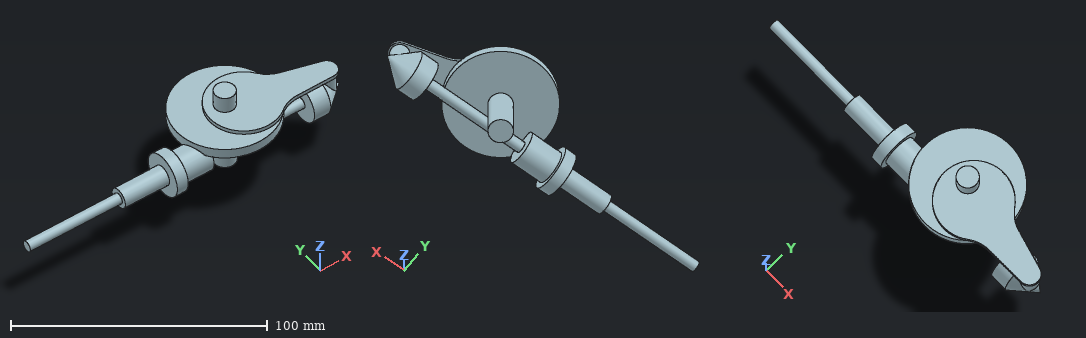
import cadquery as cq
import math

ROD_Y = -8.0

PIN_TOP_Z = 19.2
PIN_BOTTOM_Z = -18.9
UPPER_PIN_DIAMETER = 9.0
LOWER_PIN_DIAMETER = 10.0
DISC_DIAMETER = 46.0
DISC_BOTTOM_Z = 5.0
DISC_TOP_Z = 9.7

ROD_LENGTH = 150.9
TIP_X = 49.5
ROD_START_X = TIP_X - ROD_LENGTH
ROD_DIAMETER = 4.8
SLEEVE_START_X = -57.0
SLEEVE_DIAMETER = 8.9
FLANGE_START_X = -35.8
FLANGE_END_X = -30.5
FLANGE_DIAMETER = 19.3
BODY_END_X = -16.1
BODY_DIAMETER = 14.2
HEAD_START_X = 31.1
CONE_START_X = 39.0
HEAD_DIAMETER = 17.5

PLATE_THICKNESS = 1.8
CAM_X = 6.8
CAM_Y = -3.2
CAM_RADIUS = 16.1
NOSE_X = 43.3
NOSE_RADIUS = 4.7
NECK_RADIUS = 15.0
TAPER_DEGREES = 8.0

PEG_DIAMETER = 7.8


def vertical_cylinder(diameter, bottom, top, x=0, y=0):
    base = cq.Workplane("XY", origin=(x, y, bottom))
    return base.circle(diameter / 2).extrude(top - bottom)


def make_rod():
    """Revolve the stepped rod profile about the rod axis."""
    sections = [
        (ROD_START_X, SLEEVE_START_X, ROD_DIAMETER),
        (SLEEVE_START_X, FLANGE_START_X, SLEEVE_DIAMETER),
        (FLANGE_START_X, FLANGE_END_X, FLANGE_DIAMETER),
        (FLANGE_END_X, BODY_END_X, BODY_DIAMETER),
        (BODY_END_X, HEAD_START_X, ROD_DIAMETER),
        (HEAD_START_X, CONE_START_X, HEAD_DIAMETER),
    ]
    profile = cq.Workplane("XY", origin=(0, ROD_Y, 0)).moveTo(ROD_START_X, 0)
    for start, end, diameter in sections:
        profile = profile.lineTo(start, diameter / 2).lineTo(end, diameter / 2)
    return profile.lineTo(TIP_X, 0).close().revolve(360, (0, 0, 0), (1, 0, 0))


def make_cam_plate():
    """Build the plate along local X, then turn it toward the nose."""
    length = math.hypot(NOSE_X - CAM_X, ROD_Y - CAM_Y)
    direction = math.degrees(math.atan2(ROD_Y - CAM_Y, NOSE_X - CAM_X))
    taper = math.radians(TAPER_DEGREES)
    normal_x, normal_y = math.sin(taper), math.cos(taper)

    center_distance = CAM_RADIUS + NECK_RADIUS
    across = length * normal_x + NOSE_RADIUS + NECK_RADIUS
    along = math.sqrt(center_distance**2 - across**2)
    neck_x = across * normal_x + along * normal_y
    neck_y = across * normal_y - along * normal_x

    cam_tangent = (neck_x * CAM_RADIUS / center_distance, neck_y * CAM_RADIUS / center_distance)
    flank_start = (neck_x - NECK_RADIUS * normal_x, neck_y - NECK_RADIUS * normal_y)
    flank_end = (length + NOSE_RADIUS * normal_x, NOSE_RADIUS * normal_y)
    start_angle = math.atan2(-neck_y, -neck_x)
    end_angle = math.atan2(-normal_y, -normal_x)
    middle_angle = (start_angle + end_angle) / 2
    neck_middle = (
        neck_x + NECK_RADIUS * math.cos(middle_angle),
        neck_y + NECK_RADIUS * math.sin(middle_angle),
    )

    def mirrored(point):
        return (point[0], -point[1])

    outline = (
        cq.Workplane("XY")
        .moveTo(*cam_tangent)
        .threePointArc(neck_middle, flank_start)
        .lineTo(*flank_end)
        .threePointArc((length + NOSE_RADIUS, 0), mirrored(flank_end))
        .lineTo(*mirrored(flank_start))
        .threePointArc(mirrored(neck_middle), mirrored(cam_tangent))
        .threePointArc((-CAM_RADIUS, 0), cam_tangent)
        .close()
    )
    plate = outline.extrude(PLATE_THICKNESS)
    return plate.rotate((0, 0, 0), (0, 0, 1), direction).translate((CAM_X, CAM_Y, DISC_TOP_Z))


lower_pin = vertical_cylinder(LOWER_PIN_DIAMETER, PIN_BOTTOM_Z, DISC_BOTTOM_Z)
disc = vertical_cylinder(DISC_DIAMETER, DISC_BOTTOM_Z, DISC_TOP_Z)
upper_pin = vertical_cylinder(UPPER_PIN_DIAMETER, DISC_TOP_Z, PIN_TOP_Z)

peg = vertical_cylinder(PEG_DIAMETER, 0, DISC_TOP_Z, NOSE_X, ROD_Y)

result = disc.union(lower_pin).union(upper_pin).union(make_cam_plate()).union(make_rod()).union(peg)